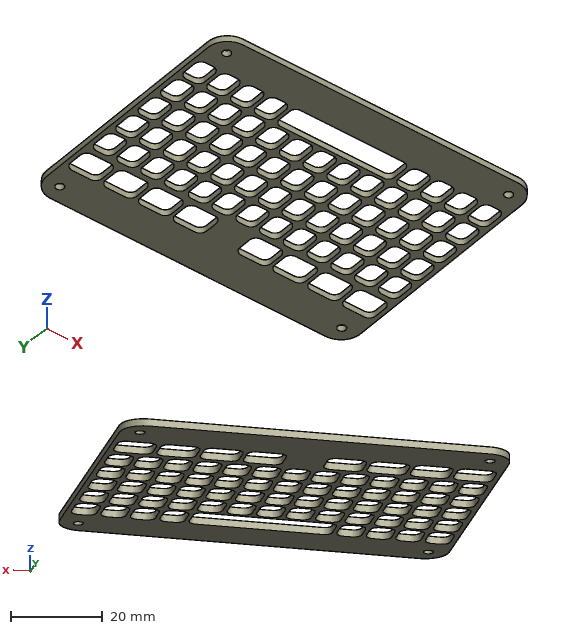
import cadquery as cq

plate_length = 87.4
plate_width = 67.6
plate_thickness = 1.7
plate_corner_radius = 5.4

mount_hole_diameter = 2.2
mount_hole_inset = 4.5

column_count = 13
row_count = 5
grid_length = 84.95
key_width = 5.6
key_height = 7.0
key_corner_radius = 1.8
first_row_y = 11.2
rows_span = 31.55
column_pitch = (grid_length - key_width) / (column_count - 1)
row_pitch = rows_span / (row_count - 1)
last_row_y = first_row_y - rows_span
middle_column = column_count // 2

space_bar_columns = 5
space_bar_corner_radius = 1.7
space_bar_length = (space_bar_columns - 1) * column_pitch + key_width

function_keys_per_side = 4
function_key_width = 8.7
function_key_pitch = 9.7
function_row_y = 19.75


def make_plate():
    """Rounded plate centred on X and Y, resting on Z = 0."""
    plate = cq.Workplane("XY").box(
        plate_length, plate_width, plate_thickness, centered=(True, True, False)
    )
    return plate.edges("|Z").fillet(plate_corner_radius)


def make_openings(centers, width, corner_radius):
    """Rounded rectangular cutters as deep as the plate, one at each centre."""
    cutters = cq.Workplane("XY").pushPoints(centers).rect(width, key_height).extrude(plate_thickness)
    return cutters.edges("|Z").fillet(corner_radius)


def grid_key_centers():
    """Centres of the grid keys, leaving the space bar's columns free in the front row."""
    centers = []
    for row in range(row_count):
        for column in range(-middle_column, middle_column + 1):
            in_space_bar = row == row_count - 1 and abs(column) <= space_bar_columns // 2
            if not in_space_bar:
                centers.append((column * column_pitch, first_row_y - row * row_pitch))
    return centers


def function_key_centers():
    """Centres of the function keys, stepping inward from both ends of the grid."""
    outer_x = (grid_length - function_key_width) / 2
    return [
        (side * (outer_x - index * function_key_pitch), function_row_y)
        for side in (-1, 1)
        for index in range(function_keys_per_side)
    ]


def cut_mount_holes(plate):
    """Drill the four mounting holes through the plate."""
    return (
        plate.faces(">Z")
        .workplane()
        .rect(
            plate_length - 2 * mount_hole_inset,
            plate_width - 2 * mount_hole_inset,
            forConstruction=True,
        )
        .vertices()
        .hole(mount_hole_diameter)
    )


result = cut_mount_holes(make_plate())
result = result.cut(make_openings(grid_key_centers(), key_width, key_corner_radius))
result = result.cut(make_openings(function_key_centers(), function_key_width, key_corner_radius))
result = result.cut(make_openings([(0, last_row_y)], space_bar_length, space_bar_corner_radius))